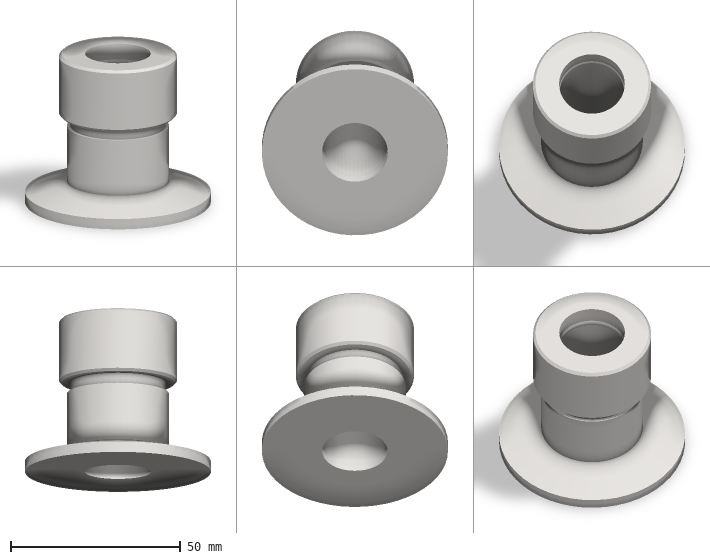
import cadquery as cq

total_height = 45.85

flange_diameter = 55.0
rim_height = 3.2
cone_top = 6.55

body_diameter = 30.15
body_top = 23.65
neck_diameter = 28.2

cap_diameter = 34.9
cap_bottom = 26.9
cap_chamfer = 0.75

bore_diameter = 19.4
collar_diameter = 19.5
seal_diameter = 19.0
collar_depth = 3.1
seal_depth = 4.9
seal_height = 1.7


def revolved(profile):
    """Turn a closed radius-height profile around the Z axis."""
    return profile.close().revolve(360, (0, 0, 0), (0, 1, 0))


def make_outside():
    flange_radius = flange_diameter / 2
    body_radius = body_diameter / 2
    neck_radius = neck_diameter / 2
    cap_radius = cap_diameter / 2
    cap_face_radius = cap_radius - cap_chamfer
    profile = (
        cq.Workplane("XZ")
        .lineTo(flange_radius, 0)
        .lineTo(flange_radius, rim_height)
        .lineTo(body_radius, cone_top)
        .lineTo(body_radius, body_top)
        .lineTo(neck_radius, body_top)
        .lineTo(neck_radius, cap_bottom)
        .lineTo(cap_face_radius, cap_bottom)
        .lineTo(cap_radius, cap_bottom + cap_chamfer)
        .lineTo(cap_radius, total_height - cap_chamfer)
        .lineTo(cap_face_radius, total_height)
        .lineTo(0, total_height)
    )
    return revolved(profile)


def make_bore():
    bore_radius = bore_diameter / 2
    collar_radius = collar_diameter / 2
    collar_top = total_height - collar_depth
    seal_top = total_height - seal_depth
    seal_bottom = seal_top - seal_height
    seal_middle = (seal_top + seal_bottom) / 2
    profile = (
        cq.Workplane("XZ")
        .lineTo(bore_radius, 0)
        .lineTo(bore_radius, seal_bottom)
        .threePointArc((seal_diameter / 2, seal_middle), (collar_radius, seal_top))
        .lineTo(collar_radius, collar_top)
        .lineTo(bore_radius, collar_top)
        .lineTo(bore_radius, total_height)
        .lineTo(0, total_height)
    )
    return revolved(profile)


result = make_outside().cut(make_bore())